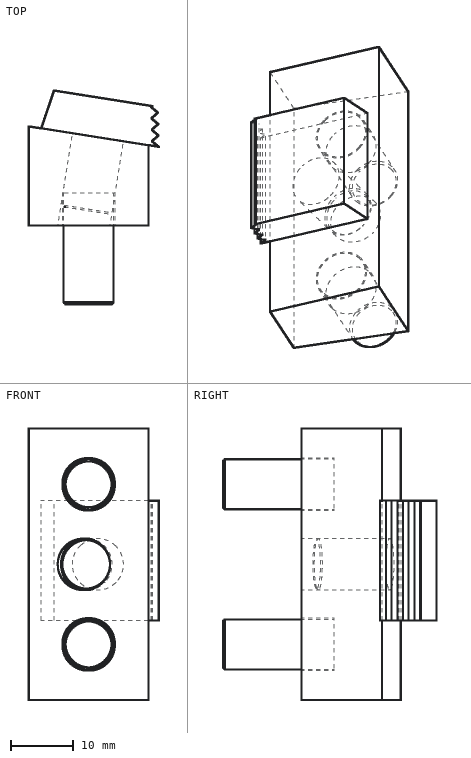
import cadquery as cq
import math

housing_width = 19.05
housing_height = 43.2
housing_left_depth = 15.8
slope_angle = 9.0
slope = math.tan(math.radians(slope_angle))
mid_height = housing_height / 2

dowel_diameter = 8.0
dowel_projection = 12.5
dowel_chamfer = 0.35
dowel_spacing = 25.45
dowel_x = housing_width / 2
dowel_hole_diameter = 8.38
dowel_hole_depth = 5.2
dowel_heights = [mid_height - dowel_spacing / 2, mid_height + dowel_spacing / 2]

bore_diameter = 8.2
bore_x = 8.75
retainer_recess = 2.45
retainer_chamfer = 0.25

jaw_height = 19.05
jaw_bottom = 12.65
jaw_heel_x = 2.0
jaw_back_x = 4.0
jaw_back_y = 21.5
tooth_tip_x = 20.7
tooth_count = 4
tooth_pitch = 1.8
tooth_depth = 1.1
tooth_lean = 0.05


def slope_y(x):
    """Y of the sloping housing face at a given X."""
    return housing_left_depth - slope * x


def along_bore(distance):
    """Plane square to the bore axis, a distance behind the bore mouth's centre."""
    angle = math.radians(slope_angle)
    axis = (math.sin(angle), math.cos(angle), 0)
    origin = (bore_x + distance * axis[0], distance * axis[1], mid_height)
    return cq.Plane(origin=origin, xDir=(0, 0, 1), normal=axis)


bore_length = slope_y(bore_x) * math.cos(math.radians(slope_angle))


def make_housing():
    outline = [
        (0, 0),
        (housing_width, 0),
        (housing_width, slope_y(housing_width)),
        (0, housing_left_depth),
    ]
    block = cq.Workplane("XY").polyline(outline).close().extrude(housing_height)
    for height in dowel_heights:
        hole = cq.Workplane("XZ", origin=(dowel_x, 0, height)).circle(dowel_hole_diameter / 2)
        block = block.cut(hole.extrude(-dowel_hole_depth))
    overrun = bore_diameter
    bore = cq.Workplane(along_bore(-overrun)).circle(bore_diameter / 2)
    return block.cut(bore.extrude(bore_length + 2 * overrun))


def make_dowel(height):
    """Dowel from the floor of its hole to its chamfered front end."""
    floor = cq.Workplane("XZ", origin=(dowel_x, dowel_hole_depth, height))
    rod = floor.circle(dowel_diameter / 2).extrude(dowel_hole_depth + dowel_projection)
    return rod.faces("<Y").chamfer(dowel_chamfer)


def make_retainer():
    """Pin filling the bore from its recessed end back to the jaw."""
    end = cq.Workplane(along_bore(retainer_recess)).circle(bore_diameter / 2)
    return end.extrude(bore_length - retainer_recess).faces("<Y").chamfer(retainer_chamfer)


def make_jaw():
    outline = [(jaw_back_x, jaw_back_y), (jaw_heel_x, slope_y(jaw_heel_x))]
    for tooth in range(tooth_count):
        tip_x = tooth_tip_x - tooth * tooth_lean
        tip_y = slope_y(tooth_tip_x) + tooth * tooth_pitch
        outline.append((tip_x, tip_y))
        outline.append((tip_x - tooth_depth, tip_y + tooth_pitch / 2))
    valley_x, valley_y = outline[-1]
    flank_slope = tooth_pitch / 2 / (tooth_depth - tooth_lean)
    back_y_at_valley = jaw_back_y - slope * (valley_x - jaw_back_x)
    flank_run = (back_y_at_valley - valley_y) / (flank_slope + slope)
    outline.append((valley_x + flank_run, valley_y + flank_slope * flank_run))
    base = cq.Workplane("XY").workplane(offset=jaw_bottom)
    return base.polyline(outline).close().extrude(jaw_height)


housing = make_housing()
jaw = make_jaw()
retainer = make_retainer()
dowels = [make_dowel(height) for height in dowel_heights]

result = cq.Compound.makeCompound(
    [housing.val(), jaw.val(), retainer.val(), *[dowel.val() for dowel in dowels]]
)